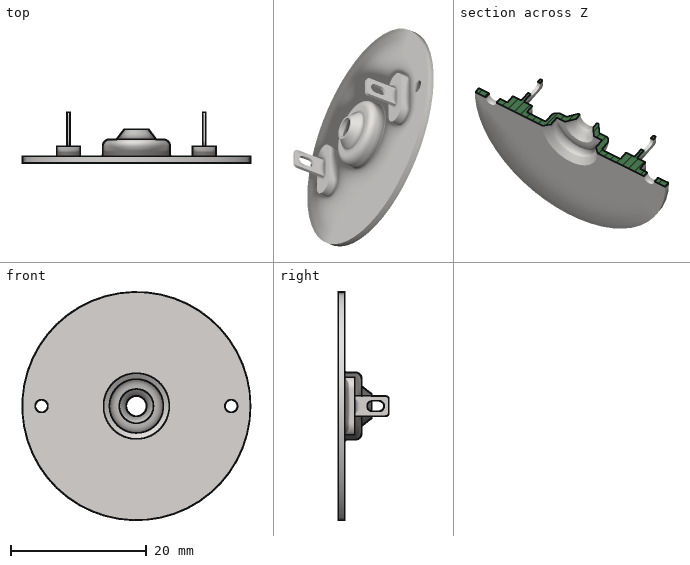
import cadquery as cq

plate_radius = 16.85
plate_thickness = 1.0
pin_hole_radius = 0.9
pin_hole_offset = 14.0

hub_radius = 5.0
hub_top = 3.5
hub_edge_radius = 1.0
hub_root_radius = 0.2
neck_base_radius = 2.93
neck_top_radius = 1.8
neck_top = 5.0

recess_mouth_radius = 4.85
recess_radius = 3.98
recess_mouth_depth = recess_mouth_radius - recess_radius
recess_depth = 2.5
funnel_radius = 2.53
bore_radius = 1.48
neck_slope = (neck_base_radius - neck_top_radius) / (neck_top - hub_top)
funnel_end = recess_depth + (funnel_radius - bore_radius) / neck_slope

terminal_offset = 10.0
foot_width = 3.5
foot_length = 8.5
foot_top = 2.5
tab_thickness = 0.5
tab_width = 3.0
tab_tip = 7.5
tab_corner_radius = 0.5
eyelet_length = 2.5
eyelet_width = 1.5
eyelet_tip_margin = 0.75


def revolve_about_y(profile):
    """Turn a closed (radius, Y) outline around the Y axis."""
    return profile.close().revolve(360, (0, 0, 0), (0, 1, 0))


def along_y(start):
    """Workplane parallel to the plate at Y = start, with its normal along +Y."""
    return cq.Workplane(cq.Plane(origin=(0, start, 0), xDir=(1, 0, 0), normal=(0, 1, 0)))


def make_plate():
    return along_y(0).circle(plate_radius).extrude(plate_thickness)


def make_hub():
    corner_start = hub_top - hub_edge_radius
    corner_radius = hub_radius - hub_edge_radius
    root_end = plate_thickness + hub_root_radius
    return revolve_about_y(
        cq.Workplane("XY")
        .lineTo(hub_radius + hub_root_radius, 0)
        .lineTo(hub_radius + hub_root_radius, plate_thickness)
        .radiusArc((hub_radius, root_end), hub_root_radius)
        .lineTo(hub_radius, corner_start)
        .radiusArc((corner_radius, hub_top), -hub_edge_radius)
        .lineTo(neck_base_radius, hub_top)
        .lineTo(neck_top_radius, neck_top)
        .lineTo(0, neck_top)
    )


def make_bore():
    return revolve_about_y(
        cq.Workplane("XY")
        .lineTo(recess_mouth_radius, 0)
        .lineTo(recess_radius, recess_mouth_depth)
        .lineTo(recess_radius, recess_depth)
        .lineTo(funnel_radius, recess_depth)
        .lineTo(bore_radius, funnel_end)
        .lineTo(bore_radius, neck_top)
        .lineTo(0, neck_top)
    )


def make_terminal(x):
    foot = (
        along_y(plate_thickness)
        .center(x, 0)
        .slot2D(foot_length, foot_width, 90)
        .extrude(foot_top - plate_thickness)
    )
    tab_height = tab_tip - foot_top
    tab = (
        cq.Workplane("XY")
        .box(tab_thickness, tab_height, tab_width)
        .translate((x, foot_top + tab_height / 2, 0))
        .edges(">Y and |X")
        .fillet(tab_corner_radius)
    )
    eyelet_center = tab_tip - eyelet_tip_margin - eyelet_length / 2
    eyelet = (
        cq.Workplane("YZ", origin=(x, eyelet_center, 0))
        .slot2D(eyelet_length, eyelet_width)
        .extrude(tab_thickness, both=True)
    )
    return foot.union(tab.cut(eyelet))


def make_pin_holes():
    return (
        along_y(0)
        .pushPoints([(-pin_hole_offset, 0), (pin_hole_offset, 0)])
        .circle(pin_hole_radius)
        .extrude(plate_thickness)
    )


result = make_plate().union(make_hub())
for side in (-1, 1):
    result = result.union(make_terminal(side * terminal_offset))
result = result.cut(make_bore()).cut(make_pin_holes())